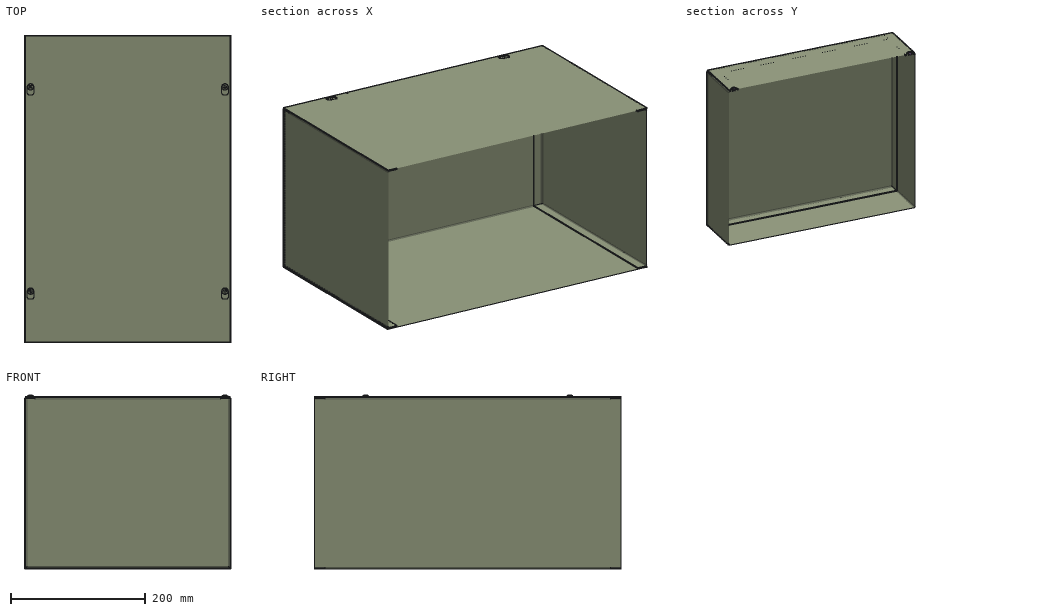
import cadquery as cq
import math

BODY_WIDTH = 308.0
BODY_LENGTH = 457.0
TOTAL_HEIGHT = 259.5
SHEET = 1.6
BEND_RADIUS = 2.5
FLANGE_WIDTH = 16.0

HEAD_DIAMETER = 9.5
HEAD_HEIGHT = 2.5
SHANK_DIAMETER = 4.15
DRIVE_WIDTH = 0.25
DRIVE_DEPTH = 1.0
DRIVE_SPAN = 5.5
SCREW_X = 145.0
SCREW_Y = 152.2
TURNED_DRIVE_ANGLE = 45.0

SLOT_WIDTH = 10.0
SLOT_LENGTH = 15.0
SLOT_CORNER_RADIUS = 3.5
SLOT_SHIFT = 4.5

INNER_BEND_RADIUS = BEND_RADIUS - SHEET
INNER_WIDTH = BODY_WIDTH - 2 * SHEET
COVER_TOP = TOTAL_HEIGHT - HEAD_HEIGHT
COVER_BOTTOM = COVER_TOP - SHEET
FLANGE_BOTTOM = COVER_BOTTOM - SHEET
TOP_BEND_START = COVER_BOTTOM - BEND_RADIUS
OPENING_WIDTH = BODY_WIDTH - 2 * FLANGE_WIDTH
END_Y = BODY_LENGTH / 2
SCREW_POINTS = [(x, y) for x in (-SCREW_X, SCREW_X) for y in (-SCREW_Y, SCREW_Y)]


def centred_box(width, length, bottom, top):
    """Box centred on X and Y between two heights."""
    return cq.Workplane("XY", origin=(0, 0, (bottom + top) / 2)).box(width, length, top - bottom)


def make_wrapper():
    """Folded sheet: floor, two side walls and two inward top flanges.

    The inside corners are rounded, but square at both ends, where the end pans are seated.
    """
    outside = centred_box(BODY_WIDTH, BODY_LENGTH, 0, COVER_BOTTOM).edges("|Y").fillet(BEND_RADIUS)
    middle_length = BODY_LENGTH - 2 * FLANGE_WIDTH
    inside = (
        centred_box(INNER_WIDTH, middle_length, SHEET, FLANGE_BOTTOM)
        .edges("|Y")
        .fillet(INNER_BEND_RADIUS)
    )
    seat_shape = centred_box(INNER_WIDTH, FLANGE_WIDTH, SHEET, FLANGE_BOTTOM)
    seat_y = END_Y - FLANGE_WIDTH / 2
    front_seat = seat_shape.translate((0, -seat_y, 0))
    rear_seat = seat_shape.translate((0, seat_y, 0))
    top_opening = centred_box(OPENING_WIDTH, BODY_LENGTH, FLANGE_BOTTOM, COVER_BOTTOM)
    screw_holes = (
        cq.Workplane("XY", origin=(0, 0, FLANGE_BOTTOM))
        .pushPoints(SCREW_POINTS)
        .circle(SHANK_DIAMETER / 2)
        .extrude(SHEET)
    )
    hollow = outside.cut(inside).cut(front_seat).cut(rear_seat)
    return hollow.cut(top_opening).cut(screw_holes)


def make_pan_tray():
    """Front end plate with flanges folded back along its sides and bottom, open at the top."""
    rim = "(<Y and |Z) or (<Y and <Z)"
    middle_y = -END_Y + FLANGE_WIDTH / 2
    outside = (
        centred_box(INNER_WIDTH, FLANGE_WIDTH, SHEET, FLANGE_BOTTOM)
        .translate((0, middle_y, 0))
        .edges(rim)
        .fillet(BEND_RADIUS)
    )
    inside = (
        centred_box(INNER_WIDTH - 2 * SHEET, FLANGE_WIDTH, 2 * SHEET, COVER_BOTTOM)
        .translate((0, middle_y + SHEET, 0))
        .edges(rim)
        .fillet(INNER_BEND_RADIUS)
    )
    return outside.cut(inside)


def make_pan_top_flange():
    """Top of the front end plate, bent back level with the wrapper flanges."""
    diagonal = math.sqrt(0.5)
    bend_y = -END_Y + BEND_RADIUS
    return (
        cq.Workplane("YZ", origin=(-OPENING_WIDTH / 2, 0, 0))
        .moveTo(-END_Y, TOP_BEND_START)
        .threePointArc(
            (bend_y - BEND_RADIUS * diagonal, TOP_BEND_START + BEND_RADIUS * diagonal),
            (bend_y, COVER_BOTTOM),
        )
        .lineTo(-END_Y + FLANGE_WIDTH, COVER_BOTTOM)
        .lineTo(-END_Y + FLANGE_WIDTH, FLANGE_BOTTOM)
        .lineTo(bend_y, FLANGE_BOTTOM)
        .threePointArc(
            (
                bend_y - INNER_BEND_RADIUS * diagonal,
                TOP_BEND_START + INNER_BEND_RADIUS * diagonal,
            ),
            (-END_Y + SHEET, TOP_BEND_START),
        )
        .close()
        .extrude(OPENING_WIDTH)
    )


def make_end_pan():
    """Front end pan: the tray trimmed where its top flange bends back."""
    trim = centred_box(OPENING_WIDTH, 2 * FLANGE_WIDTH, TOP_BEND_START, COVER_BOTTOM)
    trim = trim.translate((0, -END_Y, 0))
    return make_pan_tray().cut(trim).union(make_pan_top_flange())


def make_cover():
    """Flat lid with four round-cornered slots; each screw head covers the +Y end of its slot."""
    slots = (
        cq.Workplane("XY", origin=(0, -SLOT_SHIFT, COVER_BOTTOM))
        .pushPoints(SCREW_POINTS)
        .rect(SLOT_WIDTH, SLOT_LENGTH)
        .extrude(SHEET)
        .edges("|Z")
        .fillet(SLOT_CORNER_RADIUS)
    )
    plate = centred_box(INNER_WIDTH, BODY_LENGTH, COVER_BOTTOM, COVER_TOP)
    return plate.cut(slots)


def make_screw(x, y, drive_angle):
    """Domed screw with a cross drive; the head rests level with the cover's top face."""
    head_radius = HEAD_DIAMETER / 2
    dome_radius = (head_radius**2 + HEAD_HEIGHT**2) / (2 * HEAD_HEIGHT)
    dome_centre_z = TOTAL_HEIGHT - dome_radius
    half_angle = math.asin(head_radius / dome_radius) / 2
    arc_middle = (
        dome_radius * math.sin(half_angle),
        dome_centre_z + dome_radius * math.cos(half_angle),
    )
    screw = (
        cq.Workplane("XZ")
        .moveTo(0, FLANGE_BOTTOM)
        .lineTo(SHANK_DIAMETER / 2, FLANGE_BOTTOM)
        .lineTo(SHANK_DIAMETER / 2, COVER_TOP)
        .lineTo(head_radius, COVER_TOP)
        .threePointArc(arc_middle, (0, TOTAL_HEIGHT))
        .close()
        .revolve(360, (0, 0, 0), (0, 1, 0))
    )
    for angle in (drive_angle, drive_angle + 90):
        groove = (
            cq.Workplane("XY", origin=(0, 0, TOTAL_HEIGHT - DRIVE_DEPTH))
            .transformed(rotate=(0, 0, angle))
            .rect(DRIVE_SPAN, DRIVE_WIDTH)
            .extrude(DRIVE_DEPTH)
        )
        screw = screw.cut(groove)
    return screw.translate((x, y, 0))


wrapper = make_wrapper()
front_pan = make_end_pan()
rear_pan = front_pan.rotate((0, 0, 0), (0, 0, 1), 180)
cover = make_cover()
screws = []
for x, y in SCREW_POINTS:
    is_turned = x < 0 < y
    screws.append(make_screw(x, y, TURNED_DRIVE_ANGLE if is_turned else 0))

result = cq.Compound.makeCompound(
    [wrapper.val(), front_pan.val(), rear_pan.val(), cover.val()] + [screw.val() for screw in screws]
)